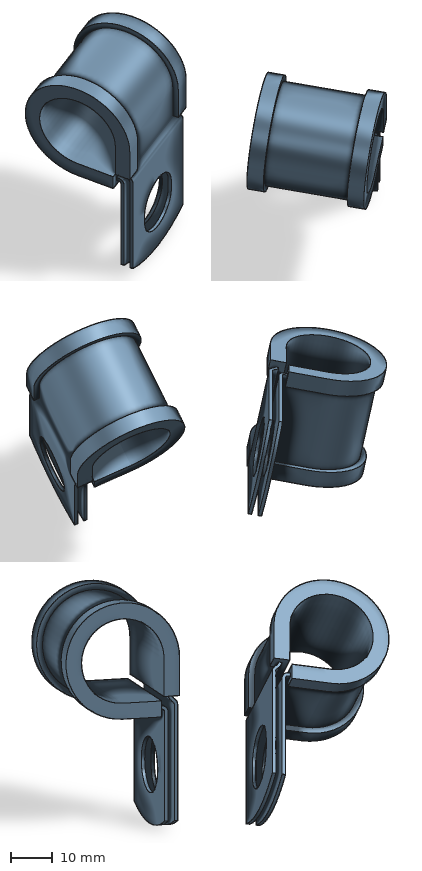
import cadquery as cq
import math

outer_radius = 28.35 / 2
bore_radius = 20.5 / 2
cushion_width = 28.45
down_leg_end = -9.25
side_leg_end = 9.7

groove_depth = 1.5
groove_width = 20.4
band_radius = outer_radius - groove_depth

strip_thickness = 0.85
strip_width = 25.25
strip_embed = 1.15
outer_bend_radius = 1.5
inner_bend_radius = outer_bend_radius - strip_thickness
inner_tab_face = 11.75
outer_tab_face = outer_radius
jog_start = -9.6
jog_angle = 45.0
overall_height = 57.0
tab_bottom = outer_radius - overall_height
tab_end_rise = 2.9
hole_diameter = 13.5
outer_slot_length = 15.55
hole_height = -28.55


def extrude_centred(profile, width):
    return profile.extrude(width / 2, both=True)


def loop(radius, width):
    """Three-quarter round loop, closed through its centre between the two leg ends."""
    diagonal = radius * math.sqrt(0.5)
    profile = (
        cq.Workplane("XZ")
        .moveTo(radius, down_leg_end)
        .lineTo(radius, 0)
        .threePointArc((-diagonal, diagonal), (0, -radius))
        .lineTo(side_leg_end, -radius)
        .lineTo(side_leg_end, -bore_radius)
        .lineTo(0, 0)
        .lineTo(bore_radius, down_leg_end)
        .close()
    )
    return extrude_centred(profile, width)


def bore():
    """Round passage with a square corner between the two legs."""
    round_part = extrude_centred(cq.Workplane("XZ").circle(bore_radius), cushion_width)
    corner_centre = cq.Workplane("XZ").center(bore_radius / 2, -bore_radius / 2)
    corner = extrude_centred(corner_centre.rect(bore_radius, bore_radius), cushion_width)
    return round_part.union(corner)


def cushion():
    groove = loop(outer_radius, groove_width).cut(loop(band_radius, groove_width))
    return loop(outer_radius, cushion_width).cut(groove).cut(bore())


def fillet_at(body, x, z, radius):
    """Round the bend edge, parallel to Y, at the given X and Z."""
    edge = cq.selectors.NearestToPointSelector((x, 0, z))
    return body.edges("|Y").edges(edge).fillet(radius)


def inner_tab():
    """Strip leaving the side leg and turning straight down."""
    lower_face = -band_radius
    upper_face = lower_face + strip_thickness
    back_face = inner_tab_face - strip_thickness
    start = side_leg_end - strip_embed
    points = [
        (start, upper_face),
        (inner_tab_face, upper_face),
        (inner_tab_face, tab_bottom),
        (back_face, tab_bottom),
        (back_face, lower_face),
        (start, lower_face),
    ]
    body = extrude_centred(cq.Workplane("XZ").polyline(points).close(), strip_width)
    body = fillet_at(body, inner_tab_face, upper_face, outer_bend_radius)
    return fillet_at(body, back_face, lower_face, inner_bend_radius)


def outer_tab():
    """Strip leaving the down leg and jogging outward by the groove depth."""
    jog_end = jog_start - groove_depth / math.tan(math.radians(jog_angle))
    miter_drop = strip_thickness * math.tan(math.radians(jog_angle / 2))
    start = down_leg_end + strip_embed
    band_back = band_radius - strip_thickness
    tab_back = outer_tab_face - strip_thickness
    points = [
        (band_radius, start),
        (band_radius, jog_start),
        (outer_tab_face, jog_end),
        (outer_tab_face, tab_bottom),
        (tab_back, tab_bottom),
        (tab_back, jog_end - miter_drop),
        (band_back, jog_start - miter_drop),
        (band_back, start),
    ]
    body = extrude_centred(cq.Workplane("XZ").polyline(points).close(), strip_width)
    body = fillet_at(body, band_radius, jog_start, inner_bend_radius)
    body = fillet_at(body, outer_tab_face, jog_end, outer_bend_radius)
    body = fillet_at(body, tab_back, jog_end - miter_drop, inner_bend_radius)
    return fillet_at(body, band_back, jog_start - miter_drop, outer_bend_radius)


def tab_outline(hole_length):
    """Envelope along X giving a tab its curved end and upright bolt hole."""
    half = strip_width / 2
    corner_height = tab_bottom + tab_end_rise
    envelope = (
        cq.Workplane("YZ")
        .moveTo(-half, 0)
        .lineTo(-half, corner_height)
        .threePointArc((0, tab_bottom), (half, corner_height))
        .lineTo(half, 0)
        .close()
        .extrude(outer_radius)
    )
    profile = cq.Workplane("YZ").center(0, hole_height)
    if hole_length > hole_diameter:
        hole = profile.slot2D(hole_length, hole_diameter, 90).extrude(outer_radius)
    else:
        hole = profile.circle(hole_diameter / 2).extrude(outer_radius)
    return envelope.cut(hole)


finished_inner_tab = inner_tab().intersect(tab_outline(hole_diameter))
finished_outer_tab = outer_tab().intersect(tab_outline(outer_slot_length))
result = cushion().union(finished_inner_tab).union(finished_outer_tab)